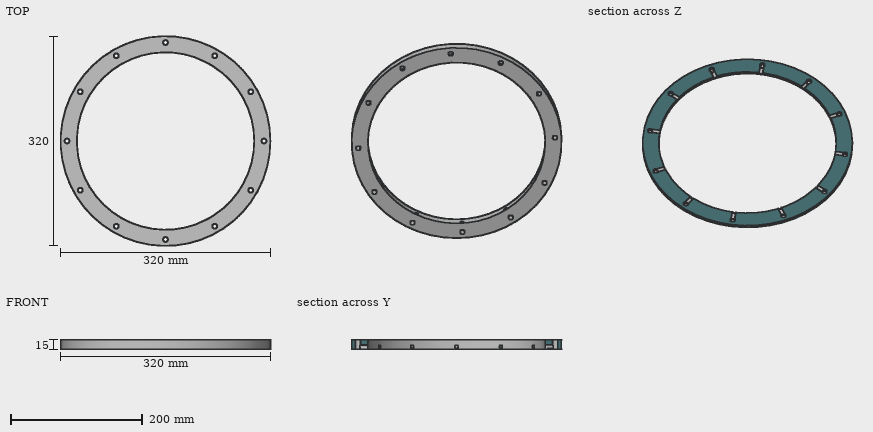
import cadquery as cq

outer_diameter = 320.0
inner_diameter = 270.0
thickness = 15.0

hole_count = 12
bolt_circle_diameter = 300.0
bolt_hole_diameter = 7.0

cross_hole_diameter = 5.0
cross_hole_height = 4.0

angle_step = 360 / hole_count
bolt_circle_radius = bolt_circle_diameter / 2


def ring_body():
    """Flat ring with its bottom face on the XY plane."""
    return (
        cq.Workplane("XY")
        .circle(outer_diameter / 2)
        .circle(inner_diameter / 2)
        .extrude(thickness)
    )


def bolt_holes():
    """Cutters for the axial through holes."""
    return (
        cq.Workplane("XY")
        .polarArray(bolt_circle_radius, 0, 360, hole_count)
        .circle(bolt_hole_diameter / 2)
        .extrude(thickness)
    )


def cross_hole(angle):
    """Cutter from the ring centre outwards, ending on the bolt hole axis."""
    return (
        cq.Workplane("YZ")
        .center(0, cross_hole_height)
        .circle(cross_hole_diameter / 2)
        .extrude(bolt_circle_radius)
        .rotate((0, 0, 0), (0, 0, 1), angle)
    )


result = ring_body().cut(bolt_holes())
for index in range(hole_count):
    result = result.cut(cross_hole(index * angle_step))